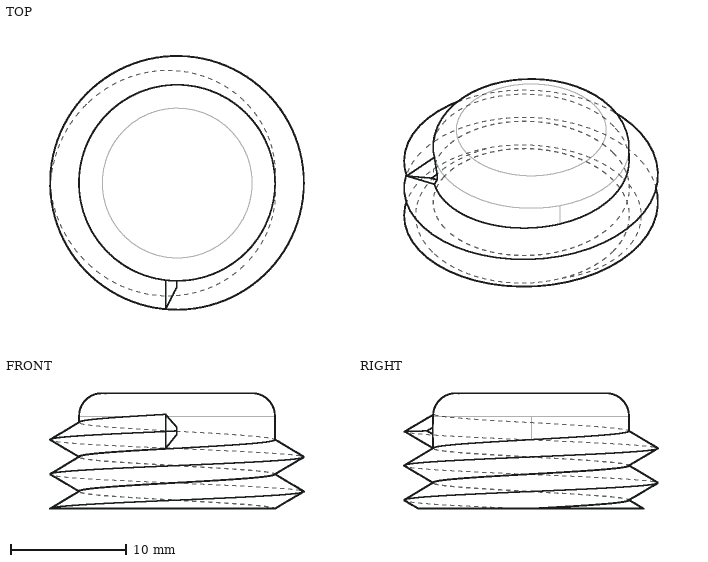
import cadquery as cq
import math

height = 10.0
outer_radius = 11.0
core_radius = 8.49
top_fillet = 2.0
pitch = 3.0
runout_length = 1.0
root_overlap = 0.02
crest_turns = 2.25
swept_turns = 3

end_x = -runout_length
crest_y = -math.sqrt(outer_radius**2 - end_x**2)
root_y = -math.sqrt(core_radius**2 - end_x**2) + root_overlap
half_root = pitch / 2
half_angle = math.atan2(half_root, root_y - crest_y)

minus_y_angle = -90
end_angle = math.degrees(math.atan2(root_y, end_x))
crest_end_height = crest_turns * pitch
cut_height = crest_end_height - pitch * (minus_y_angle - end_angle) / 360
sweep_height = swept_turns * pitch
start_height = cut_height - sweep_height


def make_core():
    """Round plug with a rounded top rim."""
    return cq.Workplane("XY").circle(core_radius).extrude(height).faces(">Z").edges().fillet(top_fillet)


def thread_triangle(tip_y, base_y, x, z):
    """V outline in a plane of constant X, pointing to -Y, centred at height z."""
    half_width = (base_y - tip_y) * math.tan(half_angle)
    return (
        cq.Workplane("YZ", origin=(x, 0, z))
        .polyline([(tip_y, 0), (base_y, half_width), (base_y, -half_width)])
        .close()
    )


def make_thread():
    """Right-handed V thread whose turns meet just under the core surface."""
    helix = (
        cq.Wire.makeHelix(pitch, sweep_height, math.hypot(end_x, root_y))
        .rotate(cq.Vector(0, 0, 0), cq.Vector(0, 0, 1), end_angle)
        .translate(cq.Vector(0, 0, start_height))
    )
    profile = thread_triangle(crest_y, root_y, end_x, start_height)
    return profile.sweep(cq.Workplane(obj=helix), isFrenet=True)


def make_runout():
    """Thread end whose flanks slope inward at 45 degrees and stop at x = 0."""
    tip_crest_y = crest_y + runout_length / math.sin(half_angle)
    wide_end = thread_triangle(crest_y, root_y, end_x, cut_height).wires().val()
    narrow_end = thread_triangle(tip_crest_y, root_y, 0, crest_end_height).wires().val()
    return cq.Workplane(obj=cq.Solid.makeLoft([wide_end, narrow_end], True))


def below_base():
    """Block that trims off the thread hanging below z = 0."""
    width = 3 * outer_radius
    return cq.Workplane("XY").rect(width, width).extrude(-sweep_height)


threaded_plug = make_core().union(make_thread()).cut(below_base())
result = threaded_plug.union(make_runout())